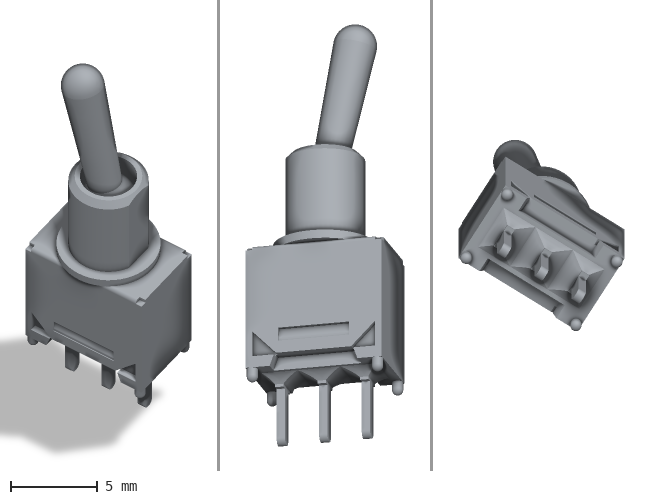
import cadquery as cq
import math


CASE_LENGTH = 8.13
CASE_WIDTH = 5.1
CASE_HEIGHT = 7.39
SHEET = 0.24
POST = 0.4

PLATE_HALF_WIDTH = CASE_LENGTH / 2 - POST
PLATE_BOTTOM = 0.76
PLATE_BOTTOM_HALF_WIDTH = 2.24
PLATE_CORNER_RISE = PLATE_HALF_WIDTH - PLATE_BOTTOM_HALF_WIDTH
RAIL_TOP = 0.68
CHANNEL_DEPTH = 0.9
CHANNEL_TOP_HALF_WIDTH = 2.34
CHANNEL_BOTTOM_HALF_WIDTH = 2.62

WINDOW_LENGTH = 4.22
WINDOW_BOTTOM = 1.49
WINDOW_TOP = 2.28
LATCH_LIP = 1.66
LATCH_LIP_DEPTH = 0.05
WINDOW_DEPTH = 0.3

FLANGE_DIAMETER = 6.0
FLANGE_THICKNESS = 0.5
BUSHING_DIAMETER = 4.65
BUSHING_LENGTH = 5.56
BUSHING_CHAMFER = 0.375
BUSHING_FLAT_X = 2.11
BUSHING_TOP = CASE_HEIGHT + FLANGE_THICKNESS + BUSHING_LENGTH

BALL_DIAMETER = 3.3
BALL_RADIUS = BALL_DIAMETER / 2
PIVOT_Z = BUSHING_TOP - 1.92
LEVER_TILT = 12.1
LEVER_LENGTH = 8.58
LEVER_ROOT_RADIUS = 0.98
LEVER_TIP_RADIUS = 1.27
LEVER_TOP = PIVOT_Z + LEVER_LENGTH * math.cos(math.radians(LEVER_TILT)) + LEVER_TIP_RADIUS

OVERALL_HEIGHT = 25.24
PIN_BOTTOM = LEVER_TOP - OVERALL_HEIGHT
PIN_PITCH = 2.54
PIN_POSITIONS = [-PIN_PITCH, 0, PIN_PITCH]
PIN_THICKNESS = 0.5
PIN_WIDTH = 0.74
SHOULDER_WIDTH = 1.46
SHOULDER_DEPTH = 0.69
SEAL_DEPTH = 0.52
SEAL_FLARE_INNER = (PIN_PITCH - PIN_THICKNESS) / 2
SEAL_FLARE_OUTER = 0.65
SEAL_SAG = 0.06

FOOT_DIAMETER = 0.65
FOOT_RADIUS = FOOT_DIAMETER / 2
FOOT_STRAIGHT = 0.46


def block(length, width, bottom, top):
    """Box centred on the Z axis between two heights."""
    box = cq.Workplane("XY").box(length, width, top - bottom, centered=(True, True, False))
    return box.translate((0, 0, bottom))


def on_both_faces(cutter):
    """The cutter for the -Y face together with its mirror for the +Y face."""
    return cutter.union(cutter.mirror("XZ"))


def case_block():
    case = block(CASE_LENGTH, CASE_WIDTH, 0, CASE_HEIGHT)
    case = case.edges("|X and >Z").fillet(SHEET)
    notches = (
        cq.Workplane("XY", origin=(0, 0, CASE_HEIGHT - SHEET))
        .rect(CASE_LENGTH - POST, CASE_WIDTH - POST, forConstruction=True)
        .vertices()
        .rect(POST, POST)
        .extrude(SHEET)
    )
    return case.cut(notches)


def face_cut(points, depth):
    """Pocket with an XZ outline, sunk into the -Y face."""
    face = cq.Workplane("XZ", origin=(0, -CASE_WIDTH / 2, 0))
    return face.polyline(points).close().extrude(-depth)


def corner_recess():
    """Triangular recess between the cut plate corner and the left post and rail."""
    corner = face_cut(
        [
            (-PLATE_HALF_WIDTH, RAIL_TOP),
            (-PLATE_HALF_WIDTH, PLATE_BOTTOM + PLATE_CORNER_RISE),
            (-PLATE_BOTTOM_HALF_WIDTH, PLATE_BOTTOM),
            (-PLATE_BOTTOM_HALF_WIDTH, RAIL_TOP),
        ],
        POST,
    )
    return corner.union(corner.mirror("YZ"))


def lower_channel():
    """Opening under the plate, between the two bottom rails."""
    return face_cut(
        [
            (-CHANNEL_BOTTOM_HALF_WIDTH, 0),
            (-CHANNEL_TOP_HALF_WIDTH, PLATE_BOTTOM),
            (CHANNEL_TOP_HALF_WIDTH, PLATE_BOTTOM),
            (CHANNEL_BOTTOM_HALF_WIDTH, 0),
        ],
        CHANNEL_DEPTH,
    )


def latch_window():
    """Window with a ramp that rises outwards towards its lower lip."""
    face_y = -CASE_WIDTH / 2
    return (
        cq.Workplane("YZ")
        .polyline(
            [
                (face_y, WINDOW_BOTTOM),
                (face_y + LATCH_LIP_DEPTH, WINDOW_BOTTOM),
                (face_y + LATCH_LIP_DEPTH, LATCH_LIP),
                (face_y + WINDOW_DEPTH, WINDOW_TOP),
                (face_y, WINDOW_TOP),
            ]
        )
        .close()
        .extrude(WINDOW_LENGTH / 2, both=True)
    )


def bushing():
    flange = (
        cq.Workplane("XY", origin=(0, 0, CASE_HEIGHT))
        .circle(FLANGE_DIAMETER / 2)
        .extrude(FLANGE_THICKNESS)
    )
    sleeve = (
        cq.Workplane("XY", origin=(0, 0, BUSHING_TOP - BUSHING_LENGTH))
        .circle(BUSHING_DIAMETER / 2)
        .extrude(BUSHING_LENGTH)
        .faces(">Z")
        .chamfer(BUSHING_CHAMFER)
    )
    sleeve_left_of_flat = block(FLANGE_DIAMETER, FLANGE_DIAMETER, CASE_HEIGHT, BUSHING_TOP)
    sleeve_left_of_flat = sleeve_left_of_flat.translate((BUSHING_FLAT_X - FLANGE_DIAMETER / 2, 0, 0))
    return flange.union(sleeve.intersect(sleeve_left_of_flat))


def lever_socket():
    """Straight bore down to the pivot, ending in a spherical seat."""
    bore = cq.Workplane("XY", origin=(0, 0, PIVOT_Z)).circle(BALL_RADIUS).extrude(BUSHING_TOP - PIVOT_Z)
    seat = cq.Workplane("XY").sphere(BALL_RADIUS).translate((0, 0, PIVOT_Z))
    return bore.union(seat)


def terminal(x):
    tip_radius = PIN_WIDTH / 2
    blade = (
        cq.Workplane("YZ")
        .moveTo(-tip_radius, 0)
        .lineTo(-tip_radius, PIN_BOTTOM + tip_radius)
        .threePointArc((0, PIN_BOTTOM), (tip_radius, PIN_BOTTOM + tip_radius))
        .lineTo(tip_radius, 0)
        .close()
        .extrude(PIN_THICKNESS / 2, both=True)
    )
    shoulder = block(PIN_THICKNESS, SHOULDER_WIDTH, -SHOULDER_DEPTH, 0)
    return blade.union(shoulder).translate((x, 0, 0))


def flare_profile(plane, half_width, left_flare, right_flare):
    """Long bar whose flat-bottomed outline widens along hollow arcs up to the housing."""
    def hollow(start, end):
        """Middle point of a hollow arc between two points on the same side."""
        chord = math.dist(start, end)
        side = math.copysign(1, start[0])
        rise = abs(end[1] - start[1])
        run = abs(end[0] - start[0])
        middle_x = (start[0] + end[0]) / 2 - side * SEAL_SAG * rise / chord
        middle_z = (start[1] + end[1]) / 2 + SEAL_SAG * run / chord
        return (middle_x, middle_z)

    top_left = (-half_width - left_flare, 0)
    bottom_left = (-half_width, -SEAL_DEPTH)
    bottom_right = (half_width, -SEAL_DEPTH)
    top_right = (half_width + right_flare, 0)
    return (
        cq.Workplane(plane)
        .moveTo(*top_left)
        .threePointArc(hollow(top_left, bottom_left), bottom_left)
        .lineTo(*bottom_right)
        .threePointArc(hollow(bottom_right, top_right), top_right)
        .close()
        .extrude(CASE_LENGTH, both=True)
    )


def seal(x):
    """Mound of sealing compound around one terminal."""
    left_flare = SEAL_FLARE_OUTER if x == min(PIN_POSITIONS) else SEAL_FLARE_INNER
    right_flare = SEAL_FLARE_OUTER if x == max(PIN_POSITIONS) else SEAL_FLARE_INNER
    along_x = flare_profile("XZ", PIN_THICKNESS / 2, left_flare, right_flare)
    along_y = flare_profile("YZ", SHOULDER_WIDTH / 2, SEAL_FLARE_OUTER, SEAL_FLARE_OUTER)
    return along_x.intersect(along_y).translate((x, 0, 0))


def foot(x, y):
    straight = cq.Workplane("XY").circle(FOOT_RADIUS).extrude(-FOOT_STRAIGHT)
    tip = cq.Workplane("XY").sphere(FOOT_RADIUS).translate((0, 0, -FOOT_STRAIGHT))
    return straight.union(tip).translate((x, y, 0))


def make_housing():
    body = case_block()
    for cutter in (corner_recess(), lower_channel(), latch_window()):
        body = body.cut(on_both_faces(cutter))
    body = body.union(bushing()).cut(lever_socket())
    for x in PIN_POSITIONS:
        body = body.union(seal(x)).union(terminal(x))
    for side_x in (-1, 1):
        for side_y in (-1, 1):
            foot_x = side_x * (CASE_LENGTH / 2 - FOOT_RADIUS)
            foot_y = side_y * (CASE_WIDTH / 2 - FOOT_RADIUS)
            body = body.union(foot(foot_x, foot_y))
    return body


def make_lever():
    """Ball, shaft that widens outwards, and round tip, tilted about the ball centre."""
    shaft = (
        cq.Workplane("XZ")
        .lineTo(LEVER_ROOT_RADIUS, 0)
        .lineTo(LEVER_TIP_RADIUS, LEVER_LENGTH)
        .threePointArc(
            (LEVER_TIP_RADIUS * math.sqrt(0.5), LEVER_LENGTH + LEVER_TIP_RADIUS * math.sqrt(0.5)),
            (0, LEVER_LENGTH + LEVER_TIP_RADIUS),
        )
        .close()
        .revolve(360, (0, 0, 0), (0, 1, 0))
    )
    ball = cq.Workplane("XY").sphere(BALL_RADIUS)
    tilted_shaft = shaft.rotate((0, 0, 0), (0, 1, 0), -LEVER_TILT)
    return ball.union(tilted_shaft).translate((0, 0, PIVOT_Z))


housing = make_housing()
lever = make_lever()

result = cq.Compound.makeCompound([housing.val(), lever.val()])